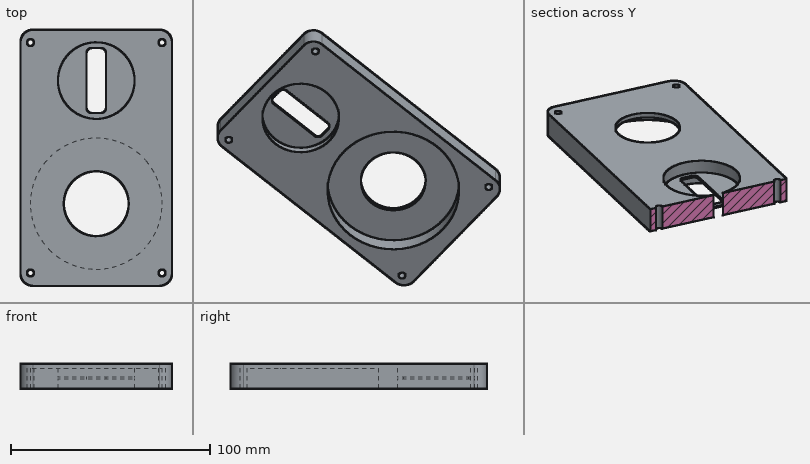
import cadquery as cq

width = 76.2
length = 128.7
thickness = 12.7
corner_radius = 6.4

screw_diameter = 3.3
screw_spacing_x = 66.0
screw_spacing_y = 115.5

opening_y = -23.0
opening_diameter = 32.4
lip_thickness = 2.6
relief_diameter = 66.0

recess_y = 38.7
recess_diameter = 38.5
recess_depth = 6.7
recess_floor_thickness = 1.0
slot_width = 9.7
slot_length = 32.4
slot_corner_radius = 2.5

top_z = thickness / 2
bottom_z = -thickness / 2


def cylinder(diameter, y, start_z, height):
    """Vertical cylinder on the plate's centre line, rising from start_z."""
    return cq.Workplane("XY", origin=(0, y, start_z)).circle(diameter / 2).extrude(height)


plate = cq.Workplane("XY").box(width, length, thickness).edges("|Z").fillet(corner_radius)

screw_holes = (
    cq.Workplane("XY", origin=(0, 0, bottom_z))
    .rect(screw_spacing_x, screw_spacing_y, forConstruction=True)
    .vertices()
    .circle(screw_diameter / 2)
    .extrude(thickness)
)

opening = cylinder(opening_diameter, opening_y, bottom_z, thickness)
relief = cylinder(relief_diameter, opening_y, bottom_z, thickness - lip_thickness)

recess = cylinder(recess_diameter, recess_y, top_z - recess_depth, recess_depth)
underside_recess_depth = thickness - recess_depth - recess_floor_thickness
underside_recess = cylinder(recess_diameter, recess_y, bottom_z, underside_recess_depth)
slot = (
    cq.Workplane("XY")
    .box(slot_width, slot_length, thickness)
    .edges("|Z")
    .fillet(slot_corner_radius)
    .translate((0, recess_y, 0))
)

result = plate.cut(screw_holes).cut(opening).cut(relief).cut(recess).cut(underside_recess).cut(slot)